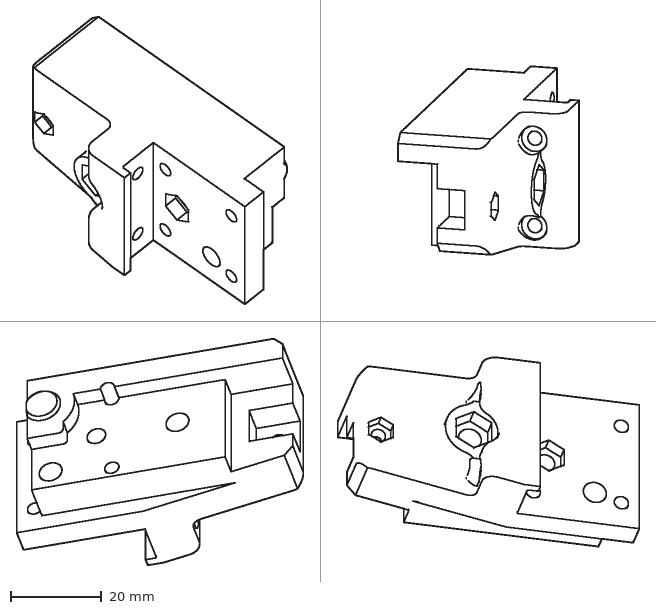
import cadquery as cq
import math

tolerance = 0.05

length = 64.1
height = 32.4
mid_z = height / 2

boss_front_y = 5.4
body_front_y = 10.0
plate_front_y = 12.0
plate_back_y = 18.0
cavity_y = 21.85
pad_front_y = 27.05
back_y = 30.9
nub_back_y = 31.7

rear_end_x = 58.3
rear_bottom_z = 3.7
end_chamfer = 2.0
slope_end_x = 35.2
slope_angle = 10.0
large_radius = 3.0

block_left_x = 26.3
block_right_x = 36.35
lip_end_x = 38.85
lip_thickness = 2.0
lip_corner_radius = 0.4

boss_x = 25.0
boss_radius = 6.5
boss_blend_radius = 5.0
boss_base_radius = 2.0
dish_radius = 5.45

rim_margin = 2.55

screw_diameter = 3.2
screw_offset_z = 10.0
screw_y = 7.0
spotface_diameter = 6.0
spotface_depth = 1.0

bolts = [
    (5.0, 3.2, 5.6, body_front_y, 2.55),
    (boss_x, 5.2, 8.15, boss_front_y, 4.0),
    (43.5, 4.2, 6.9, plate_front_y, 3.2),
]

pattern_x = 50.0
pattern_pitch = 2 * screw_offset_z
plate_hole_diameter = 3.2
access_x = 54.0
access_z = 8.0
access_diameter = 5.2

cavity_top_z = 26.3
cavity_end_x = 14.1
slot_y = 15.6
slot_height = 9.0
slot_depth = 10.0

pad_bottom_z = 15.5
pad_corner_radius = 1.0
nub_x = 54.9
nub_z = 24.2
nub_base_radius = 4.15
nub_tip_radius = 3.6
column_radius = 7.4
pad_left_x = 50.1


def box(x0, x1, y0, y1, z0, z1):
    """Block between two opposite corners."""
    return cq.Workplane("XY").box(x1 - x0, y1 - y0, z1 - z0, centered=False).translate((x0, y0, z0))


def rod_y(x, z, diameter, y0, y1):
    """Cylinder along Y."""
    axis = cq.Vector(0, 1, 0)
    return cq.Workplane(cq.Solid.makeCylinder(diameter / 2, y1 - y0, cq.Vector(x, y0, z), axis))


def rod_x(y, z, diameter, x0, x1):
    """Cylinder along X."""
    axis = cq.Vector(1, 0, 0)
    return cq.Workplane(cq.Solid.makeCylinder(diameter / 2, x1 - x0, cq.Vector(x0, y, z), axis))


def hex_prism(x, z, across_flats, y0, y1):
    """Hexagonal prism along Y with corners pointing up and down."""
    corner_diameter = across_flats / math.cos(math.radians(30))
    prism = cq.Workplane("XZ", origin=(x, y0, z)).polygon(6, corner_diameter).extrude(y0 - y1)
    return prism.rotate((x, 0, z), (x, 1, z), 90)


def edges_within(x0, x1, y0, y1, z0=0.0, z1=height):
    """Selector for edges whose centres lie inside a box, allowing for a small tolerance."""
    low = (x0 - tolerance, y0 - tolerance, z0 - tolerance)
    high = (x1 + tolerance, y1 + tolerance, z1 + tolerance)
    return cq.selectors.BoxSelector(low, high)


plan = (
    cq.Workplane("XY")
    .moveTo(0, back_y)
    .lineTo(0, body_front_y)
    .lineTo(block_left_x, body_front_y)
    .lineTo(block_left_x, 0)
    .lineTo(lip_end_x, 0)
    .lineTo(lip_end_x, lip_thickness)
    .lineTo(block_right_x, lip_thickness)
    .lineTo(block_right_x, plate_front_y)
    .lineTo(length, plate_front_y)
    .lineTo(length, plate_back_y)
    .lineTo(rear_end_x, plate_back_y)
    .lineTo(rear_end_x, back_y)
    .close()
    .extrude(height)
)
left_end_edge = edges_within(0, 0, body_front_y, body_front_y)
lip_edge = edges_within(block_right_x, block_right_x, lip_thickness, lip_thickness)
plan = plan.edges(left_end_edge).fillet(large_radius)
plan = plan.edges(lip_edge).fillet(lip_corner_radius)

slope_start_z = slope_end_x * math.tan(math.radians(slope_angle))
side = (
    cq.Workplane("XZ")
    .moveTo(0, slope_start_z)
    .lineTo(slope_end_x, 0)
    .lineTo(length, 0)
    .lineTo(length, height)
    .lineTo(0, height)
    .close()
    .extrude(-back_y)
)
side = side.faces("<X").edges("|Y").chamfer(end_chamfer)
body = plan.intersect(side)

body = body.union(rod_y(boss_x, mid_z, 2 * boss_radius, boss_front_y, plate_front_y))
body = body.cut(rod_y(boss_x, mid_z, 2 * dish_radius, 0, boss_front_y))

boss_to_block = edges_within(block_left_x, block_left_x, boss_front_y, body_front_y)
body = body.edges(boss_to_block).edges("|Y").fillet(boss_blend_radius)

boss_base = edges_within(boss_x - boss_radius, block_left_x, body_front_y, body_front_y)
body = body.edges(boss_base).fillet(boss_base_radius)

block_rim = edges_within(
    block_left_x, boss_x + dish_radius, 0, boss_front_y / 2, rim_margin, height - rim_margin)
body = body.edges(block_rim).fillet(large_radius)

spotface_start_x = block_left_x - boss_base_radius
spotface_end_x = block_left_x + spotface_depth
for screw_z in (mid_z - screw_offset_z, mid_z + screw_offset_z):
    body = body.cut(rod_x(screw_y, screw_z, screw_diameter, spotface_start_x, lip_end_x))
    body = body.cut(rod_x(screw_y, screw_z, spotface_diameter, spotface_start_x, spotface_end_x))

body = body.cut(box(0, length, plate_back_y, back_y, 0, rear_bottom_z))
body = body.cut(box(0, cavity_end_x, cavity_y, back_y, 0, cavity_top_z))
body = body.cut(box(0, rear_end_x, pad_front_y, back_y, 0, cavity_top_z))
body = body.cut(box(0, slot_depth, slot_y, cavity_y, mid_z - slot_height / 2, mid_z + slot_height / 2))

pad = box(pad_left_x, rear_end_x, pad_front_y, back_y, pad_bottom_z, cavity_top_z)
pad = pad.edges("|Y and <X and <Z").fillet(pad_corner_radius)
pad = pad.union(rod_y(nub_x, nub_z, 2 * column_radius, pad_front_y, back_y))
nub = cq.Workplane(
    cq.Solid.makeCone(
        nub_base_radius,
        nub_tip_radius,
        nub_back_y - back_y,
        cq.Vector(nub_x, back_y, nub_z),
        cq.Vector(0, 1, 0),
    )
)
pad = pad.union(nub)
body = body.union(pad.intersect(box(0, rear_end_x, 0, nub_back_y, 0, height)))

for x, bore, across_flats, face_y, pocket_depth in bolts:
    body = body.cut(rod_y(x, mid_z, bore, 0, back_y))
    body = body.cut(hex_prism(x, mid_z, across_flats, face_y, face_y + pocket_depth))

for x in (pattern_x - pattern_pitch / 2, pattern_x + pattern_pitch / 2):
    for z in (mid_z - pattern_pitch / 2, mid_z + pattern_pitch / 2):
        body = body.cut(rod_y(x, z, plate_hole_diameter, plate_front_y, back_y))
body = body.cut(rod_y(access_x, access_z, access_diameter, plate_front_y, back_y))

result = body